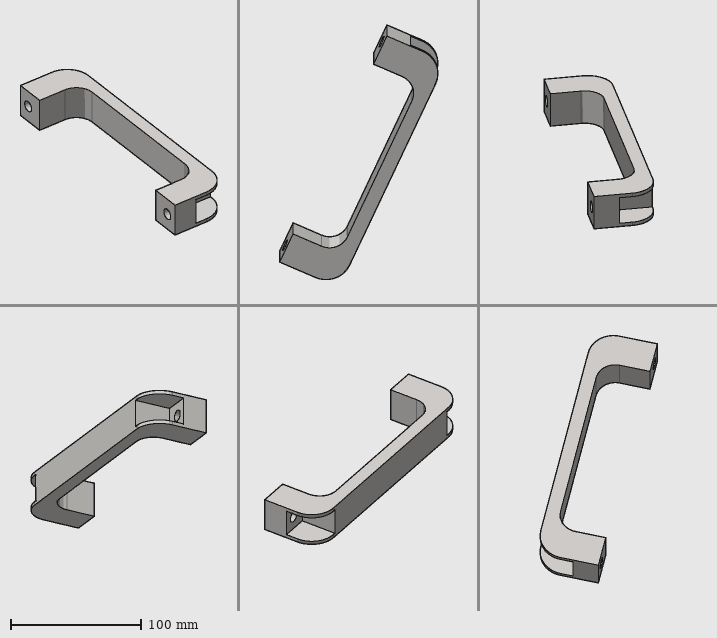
import cadquery as cq

length = 200.0
depth = 50.0
height = 28.0

leg_width = 25.0
grip_thickness = 11.0
outer_radius = 20.0
inner_radius = 15.0

wall_thickness = 3.0
slot_depth = 30.0
slot_width = leg_width - wall_thickness

hole_diameter = 8.8
hole_inset = 10.0


def make_bow():
    """Solid U-shaped handle with its feet on the plane Y = 0."""
    block = cq.Workplane("XY").box(length, depth, height, centered=(True, False, True))
    block = block.edges("|Z and >Y").fillet(outer_radius)
    opening = (
        cq.Workplane("XY")
        .box(length - 2 * leg_width, depth - grip_thickness, height, centered=(True, False, True))
        .edges("|Z and >Y")
        .fillet(inner_radius)
    )
    return block.cut(opening)


def make_slot(side):
    """Rectangular slot giving access to the hole from the outer corner."""
    return cq.Workplane("XY").box(
        slot_width, slot_depth, height - 2 * wall_thickness
    ).translate((side * (length - slot_width) / 2, depth - slot_depth / 2, 0))


def make_hole(side):
    """Mounting hole running along Y through the foot into the slot."""
    return (
        cq.Workplane("XZ")
        .center(side * (length / 2 - hole_inset), 0)
        .circle(hole_diameter / 2)
        .extrude(-depth)
    )


result = make_bow()
for side in (-1, 1):
    result = result.cut(make_slot(side)).cut(make_hole(side))